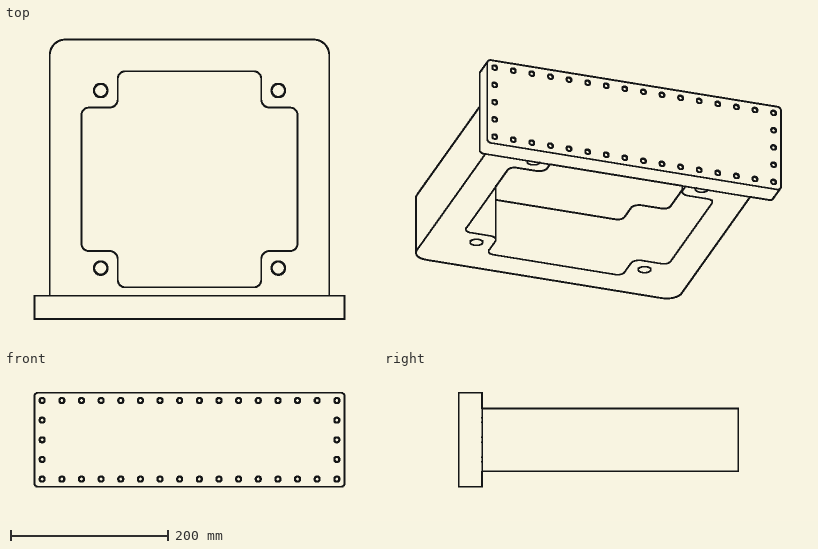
import cadquery as cq

flange_width = 395.0
flange_height = 120.0
flange_thickness = 30.0
flange_corner_radius = 5.0

rim_hole_span = 375.0
rim_hole_columns = 16
rim_hole_rows = 5
rim_hole_pitch = rim_hole_span / (rim_hole_columns - 1)
rim_hole_diameter = 6.0
rim_hole_chamfer = 0.6

frame_size = 356.0
frame_height = 80.0
frame_corner_radius = 20.0

window_length = 274.5
window_arm_width = 182.0
window_outer_radius = 9.0
window_inner_radius = 11.0

mount_hole_pitch = 226.0
mount_hole_diameter = 16.0
mount_hole_chamfer = 0.8

front_y = -frame_size / 2


def make_frame():
    """Square plate with its two rear corners rounded."""
    plate = cq.Workplane("XY").box(frame_size, frame_size, frame_height)
    return plate.edges("|Z and >Y").fillet(frame_corner_radius)


def make_flange():
    """Upright plate with rounded corners, flush with the front of the frame."""
    plate = cq.Workplane("XY").box(flange_width, flange_thickness, flange_height)
    plate = plate.edges("|Y").fillet(flange_corner_radius)
    return plate.translate((0, front_y + flange_thickness / 2, 0))


def make_window():
    """Plus-shaped cutter with rounded arm ends and rounded inside corners."""
    along_x = cq.Workplane("XY").box(window_length, window_arm_width, frame_height)
    along_y = cq.Workplane("XY").box(window_arm_width, window_length, frame_height)
    plus = along_x.union(along_y)
    reach = (window_arm_width + window_length) / 4
    inside_corners = cq.selectors.BoxSelector(
        (-reach, -reach, -frame_height),
        (reach, reach, frame_height),
    )
    plus = plus.edges("|Z").edges(inside_corners).fillet(window_inner_radius)
    return plus.edges("|Z").edges("<X or >X or <Y or >Y").fillet(window_outer_radius)


def chamfered_hole(diameter, depth, chamfer):
    """Cutter along +Z from the origin: a hole whose entry edge is chamfered."""
    radius = diameter / 2
    profile = [
        (0, 0),
        (radius + chamfer, 0),
        (radius, chamfer),
        (radius, depth),
        (0, depth),
    ]
    return cq.Workplane("XZ").polyline(profile).close().revolve(360, (0, 0), (0, 1))


def mount_hole_points():
    """Corners of the square mounting hole pattern."""
    half_pitch = mount_hole_pitch / 2
    return [(x, y) for x in (-half_pitch, half_pitch) for y in (-half_pitch, half_pitch)]


def rim_hole_points():
    """Points of the hole grid that lie on its outer rows and columns."""
    last_column = rim_hole_columns - 1
    last_row = rim_hole_rows - 1
    points = []
    for column in range(rim_hole_columns):
        for row in range(rim_hole_rows):
            if column in (0, last_column) or row in (0, last_row):
                x = (column - last_column / 2) * rim_hole_pitch
                z = (row - last_row / 2) * rim_hole_pitch
                points.append((x, z))
    return points


mount_hole = (
    chamfered_hole(mount_hole_diameter, frame_height, mount_hole_chamfer)
    .rotate((0, 0, 0), (1, 0, 0), 180)
    .translate((0, 0, frame_height / 2))
)
rim_hole = (
    chamfered_hole(rim_hole_diameter, flange_thickness, rim_hole_chamfer)
    .rotate((0, 0, 0), (1, 0, 0), -90)
    .translate((0, front_y, 0))
)

result = make_frame().union(make_flange()).cut(make_window())
for x, y in mount_hole_points():
    result = result.cut(mount_hole.translate((x, y, 0)))
for x, z in rim_hole_points():
    result = result.cut(rim_hole.translate((x, 0, z)))